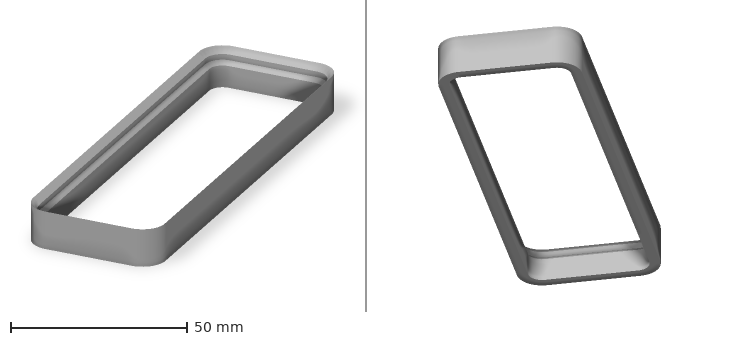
import cadquery as cq

width = 41.5
length = 125.5
height = 11.7
corner_radius = 7.3

upper_slope = 1.9
lip_wall = 1.8
lower_slope = 1.3

wall = upper_slope + lower_slope
lower_slope_top = height - upper_slope - lip_wall
inner_wall_top = lower_slope_top - lower_slope


def rounded_outline(inset):
    """Closed rounded rectangle lying inside the outer wall by inset."""
    return cq.Sketch().rect(width - 2 * inset, length - 2 * inset).vertices().fillet(corner_radius - inset)


def rounded_block(inset, bottom, top):
    """Upright block whose sides and corners lie inside the outer wall by inset."""
    return (
        cq.Workplane("XY")
        .workplane(offset=bottom)
        .placeSketch(rounded_outline(inset))
        .extrude(top - bottom)
    )


def flared_block(top_inset, slope, top):
    """Block narrowing downward at 45 degrees from top_inset over a depth of slope."""
    return (
        cq.Workplane("XY")
        .workplane(offset=top)
        .placeSketch(rounded_outline(top_inset))
        .extrude(-slope, taper=45)
    )


result = (
    rounded_block(0, 0, height)
    .cut(rounded_block(wall, 0, inner_wall_top))
    .cut(flared_block(upper_slope, lower_slope, lower_slope_top))
    .cut(rounded_block(upper_slope, lower_slope_top, height - upper_slope))
    .cut(flared_block(0, upper_slope, height))
)